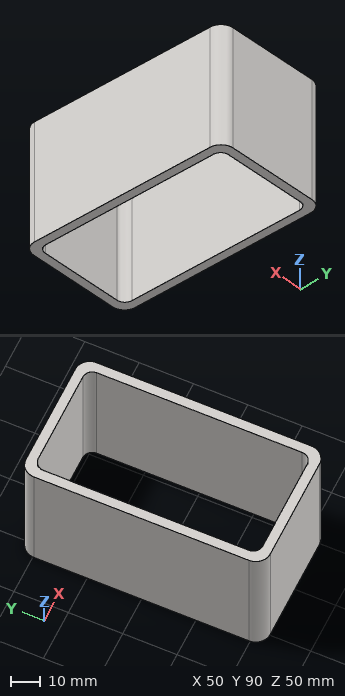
import cadquery as cq

width = 50.0
length = 90.0
height = 50.0

wall = 3.7
outer_radius = 5.4
inner_radius = 3.5


def rounded_block(size_x, size_y, corner_radius):
    """Upright block of the tube's height with rounded vertical edges."""
    block = cq.Workplane("XY").box(size_x, size_y, height)
    return block.edges("|Z").fillet(corner_radius)


outer_body = rounded_block(width, length, outer_radius)
bore = rounded_block(width - 2 * wall, length - 2 * wall, inner_radius)

result = outer_body.cut(bore)